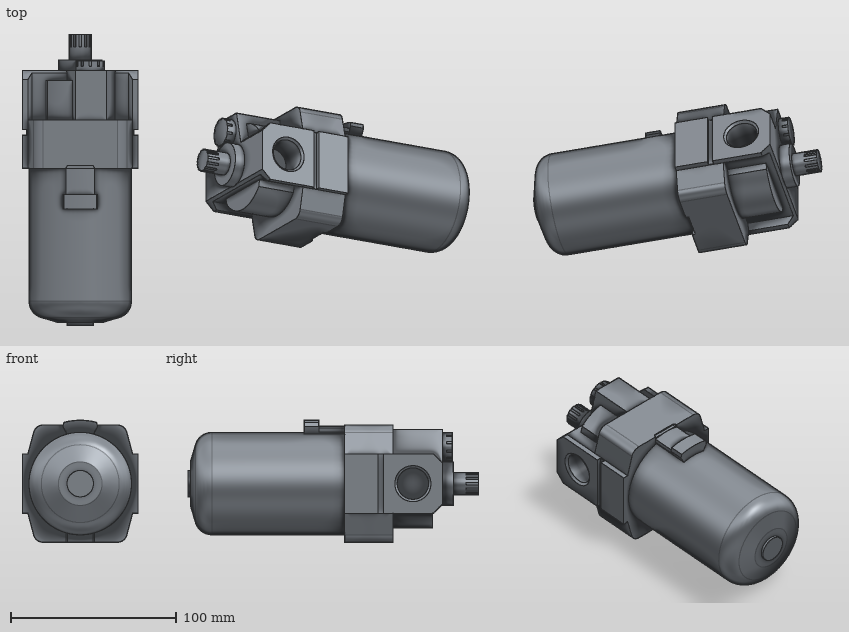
import cadquery as cq
import math


head_width = 70.0
head_height = 71.0
head_back = 18.0
shoulder_y = -12.0
head_front = -41.3
collar_base_half_width = 31.7
collar_draft = 15.0
collar_corner_radius = 6.0

flange_height = 36.0
back_chamfer = 5.6
flange_slot_back = -17.9
flange_slot_width = 3.2
flange_slot_depth = 2.6

waist_half_height = 14.0
waist_draft = 31.0
dome_radius = 26.8
dome_back = 12.0
dome_foot_half_width = 20.8
dome_spring_half_width = 19.8
block_center_x = 6.5
block_top_z = 32.8
block_top_width = 18.8
block_draft = 15.0

port_radius = 9.5
port_mouth_radius = 10.9
port_depth = 20.0

knob_seat_radius = 13.1
knob_seat_back = 24.4
knob_radius = 6.8
knob_back = 39.8
knob_flute_count = 12
knob_flute_length = 7.8
plug_center_x = 6.1
plug_center_z = 22.2
plug_radius = 8.6
plug_back = 23.8
plug_flute_count = 10
plug_flute_length = 3.5
flute_width = 1.4
flute_depth = 0.4

bowl_radius = 31.0
bowl_fillet_start = -121.5
bowl_fillet_radius = 10.4
bowl_cone_angle = 16.4
bowl_flat_radius = 13.2
foot_radius = 8.0
foot_end = -136.1

clip_radius = 34.8
clip_half_width = 8.75
clip_undercut_z = 31.3
clip_undercut_angle = 28.0
clip_root_overlap = 1.0
lever_back = -56.9
lever_front = -65.8
lever_radius = 38.4
lever_half_width = 10.5
lever_top_half_width = 9.9
recess_depth = 1.9
recess_inner_half_width = 7.7


def disc(radius, y_back, y_front):
    """Cylinder about the Y axis."""
    return cq.Workplane("XZ", origin=(0, y_back, 0)).circle(radius).extrude(y_back - y_front)


def prism(points, y_back, y_front):
    """Closed X-Z outline extruded along Y."""
    return cq.Workplane("XZ", origin=(0, y_back, 0)).polyline(points).close().extrude(y_back - y_front)


def four_fold(corner_points):
    """Mirrors the points of one quadrant, listed from the X side to the Z side, into all four."""
    right_top = corner_points
    left_top = [(-x, z) for x, z in reversed(right_top)]
    left_bottom = [(x, -z) for x, z in reversed(left_top)]
    right_bottom = [(x, -z) for x, z in reversed(right_top)]
    return right_top + left_top + left_bottom + right_bottom


def drafted_collar():
    """Collar with drafted top and bottom lobes and rounded corners."""
    draft_run = (head_height - flange_height) / 2 * math.tan(math.radians(collar_draft))
    outline = four_fold(
        [
            (collar_base_half_width, flange_height / 2),
            (collar_base_half_width - draft_run, head_height / 2),
        ]
    )
    collar = prism(outline, shoulder_y, head_front)
    return collar.edges("|Y").edges(">Z or <Z").fillet(collar_corner_radius)


def ported_waist():
    """Waist with a full-height flange at each end, chamfered along its back edges."""
    floor_drop = flange_height / 2 - waist_half_height
    waist_half_width = collar_base_half_width - floor_drop * math.tan(math.radians(waist_draft))
    outline = four_fold(
        [
            (head_width / 2, flange_height / 2),
            (collar_base_half_width, flange_height / 2),
            (waist_half_width, waist_half_height),
        ]
    )
    side_outline = [
        (head_front, flange_height / 2),
        (head_back - back_chamfer, flange_height / 2),
        (head_back, flange_height / 2 - back_chamfer),
        (head_back, back_chamfer - flange_height / 2),
        (head_back - back_chamfer, -flange_height / 2),
        (head_front, -flange_height / 2),
    ]
    envelope = cq.Workplane("YZ").polyline(side_outline).close().extrude(head_width / 2, both=True)
    return prism(outline, head_back, head_front).intersect(envelope)


def dome():
    """Barrel behind the collar, standing on drafted side walls."""
    spring_z = math.sqrt(dome_radius**2 - dome_spring_half_width**2)
    return (
        cq.Workplane("XZ", origin=(0, dome_back, 0))
        .moveTo(dome_foot_half_width, waist_half_height)
        .lineTo(dome_spring_half_width, spring_z)
        .threePointArc((0, dome_radius), (-dome_spring_half_width, spring_z))
        .lineTo(-dome_foot_half_width, waist_half_height)
        .lineTo(-dome_foot_half_width, -waist_half_height)
        .lineTo(-dome_spring_half_width, -spring_z)
        .threePointArc((0, -dome_radius), (dome_spring_half_width, -spring_z))
        .lineTo(dome_foot_half_width, -waist_half_height)
        .close()
        .extrude(dome_back - shoulder_y)
    )


def knob_block():
    """Drafted block on top of the head that carries the smaller knob."""
    foot_z = flange_height / 2 - back_chamfer
    top_half = block_top_width / 2
    foot_half = top_half + (block_top_z - foot_z) * math.tan(math.radians(block_draft))
    outline = [
        (block_center_x - foot_half, foot_z),
        (block_center_x + foot_half, foot_z),
        (block_center_x + top_half, block_top_z),
        (block_center_x - top_half, block_top_z),
    ]
    return prism(outline, head_back, shoulder_y)


def fluted_knob(radius, y_back, y_front, flute_count, flute_length):
    """Knob about the Y axis with round-ended flutes, one of them on its top line."""
    knob = disc(radius, y_back, y_front)
    round_center_y = y_back - flute_length + flute_width / 2
    floor_z = radius - flute_depth
    flute = (
        cq.Workplane("XY", origin=(0, 0, floor_z))
        .moveTo(-flute_width / 2, y_back)
        .lineTo(-flute_width / 2, round_center_y)
        .threePointArc((0, y_back - flute_length), (flute_width / 2, round_center_y))
        .lineTo(flute_width / 2, y_back)
        .close()
        .extrude(2 * flute_depth)
    )
    for index in range(flute_count):
        turn = index * 360.0 / flute_count
        knob = knob.cut(flute.rotate((0, 0, 0), (0, 1, 0), turn))
    return knob


def port(side):
    """Chamfered blind port entering along X; side is +1 or -1."""
    mouth_depth = port_mouth_radius - port_radius
    outline = [
        (0, 0),
        (port_mouth_radius, 0),
        (port_radius, mouth_depth),
        (port_radius, port_depth),
        (0, port_depth),
    ]
    bore = cq.Workplane("XY").polyline(outline).close().revolve(360, (0, 0), (0, 1))
    return bore.rotate((0, 0, 0), (0, 0, 1), side * 90).translate((side * head_width / 2, 0, 0))


def flange_slot(side):
    """Slot across the outer face of a flange; side is +1 or -1."""
    center_x = side * (head_width - flange_slot_depth) / 2
    center_y = flange_slot_back - flange_slot_width / 2
    slot = cq.Workplane("XY").box(flange_slot_depth, flange_slot_width, head_height)
    return slot.translate((center_x, center_y, 0))


def tapered_recess(z_bottom, z_top):
    """Block that narrows toward its back, standing behind the front face of the head."""
    return (
        cq.Workplane("XY", origin=(0, 0, z_bottom))
        .polyline(
            [
                (-clip_half_width, head_front),
                (clip_half_width, head_front),
                (recess_inner_half_width, head_front + recess_depth),
                (-recess_inner_half_width, head_front + recess_depth),
            ]
        )
        .close()
        .extrude(z_top - z_bottom)
    )


def make_head():
    head = drafted_collar().union(ported_waist()).union(dome()).union(knob_block())
    head = head.union(disc(knob_seat_radius, knob_seat_back, head_back))
    knob = fluted_knob(knob_radius, knob_back, knob_seat_back, knob_flute_count, knob_flute_length)
    head = head.union(knob)
    plug = fluted_knob(plug_radius, plug_back, head_back, plug_flute_count, plug_flute_length)
    head = head.union(plug.translate((plug_center_x, 0, plug_center_z)))
    for side in (-1, 1):
        head = head.cut(port(side)).cut(flange_slot(side))
    bowl_bar = disc(bowl_radius, shoulder_y, head_front)
    recesses = tapered_recess(-head_height, head_height).cut(bowl_bar)
    return head.cut(recesses)


def bowl_body():
    """Bowl as a solid of revolution with a rounded, conical end and a round foot."""
    angle = math.radians(bowl_cone_angle)
    fillet_center_r = bowl_radius - bowl_fillet_radius
    cone_start_r = fillet_center_r + bowl_fillet_radius * math.sin(angle)
    cone_start_y = bowl_fillet_start - bowl_fillet_radius * math.cos(angle)
    flat_y = cone_start_y - (cone_start_r - bowl_flat_radius) * math.tan(angle)
    middle = (math.pi / 2 - angle) / 2
    fillet_middle = (
        fillet_center_r + bowl_fillet_radius * math.cos(middle),
        bowl_fillet_start - bowl_fillet_radius * math.sin(middle),
    )
    half_section = (
        cq.Workplane("ZY")
        .moveTo(0, head_front)
        .lineTo(bowl_radius, head_front)
        .lineTo(bowl_radius, bowl_fillet_start)
        .threePointArc(fillet_middle, (cone_start_r, cone_start_y))
        .lineTo(bowl_flat_radius, flat_y)
        .lineTo(foot_radius, flat_y)
        .lineTo(foot_radius, foot_end)
        .lineTo(0, foot_end)
        .close()
    )
    return half_section.revolve(360, (0, 0), (0, 1))


def undercut_half_width(z):
    """Half width of the clip's undercut sides at a given height."""
    return clip_half_width + (z - clip_undercut_z) * math.tan(math.radians(clip_undercut_angle))


def arc_height(radius, half_width):
    """Z at which a circle about the bowl axis reaches the given half width."""
    return math.sqrt(radius**2 - half_width**2)


def clip_section(side_points, outer_radius, y_back, y_front):
    """Clip section with undercut sides, topped by an arc about the bowl axis."""
    root_z = arc_height(bowl_radius, clip_half_width) - clip_root_overlap
    right_side = [(undercut_half_width(root_z), root_z)] + side_points
    left_side = [(-x, z) for x, z in reversed(right_side)]
    return (
        cq.Workplane("XZ", origin=(0, y_back, 0))
        .polyline(right_side)
        .threePointArc((0, outer_radius), left_side[0])
        .polyline(left_side[1:], includeCurrent=True)
        .close()
        .extrude(y_back - y_front)
    )


def make_bowl():
    strap_sides = [
        (clip_half_width, clip_undercut_z),
        (clip_half_width, arc_height(clip_radius, clip_half_width)),
    ]
    strap = clip_section(strap_sides, clip_radius, head_front, lever_back)
    undercut_slope = math.tan(math.radians(clip_undercut_angle))
    lever_side_z = clip_undercut_z + (lever_half_width - clip_half_width) / undercut_slope
    lever_sides = [
        (lever_half_width, lever_side_z),
        (lever_top_half_width, arc_height(lever_radius, lever_top_half_width)),
    ]
    lever = clip_section(lever_sides, lever_radius, lever_back, lever_front)
    nose = tapered_recess(0, clip_radius).cut(disc(bowl_radius, shoulder_y, head_front))
    return bowl_body().union(strap).union(lever).union(nose)


head = make_head()
bowl = make_bowl()

result = cq.Compound.makeCompound([head.solids().val(), bowl.solids().val()])